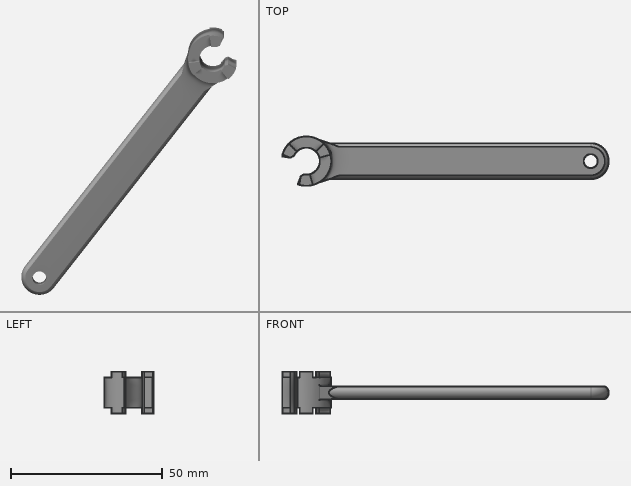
import cadquery as cq
import math

length = 108.1
head_radius = 8.2
bore_radius = 4.4
head_height = 14.0
lug_height = 2.0
web_height = head_height - 2 * lug_height
jaw_left = -8.0

handle_width = 12.0
handle_thickness = 4.2
edge_bulge = 1.3
hole_diameter = 4.5
half_width = handle_width / 2
flat_edge = half_width - edge_bulge
half_thickness = handle_thickness / 2
end_x = jaw_left + length - half_width

flare_start_angle = 59
flare_crossing = 7.5
flare_end = 10.8
root_fillet = 0.4

lug_ranges = [(15, 45), (135, 200), (235, 285)]

upper_inner_tip = [(-4.0, 1.8), (-5.3, 1.1)]
lower_inner_tip = [(-0.9, -4.3), (-1.8, -5.0)]
upper_web_corner = (jaw_left, 1.5)
upper_lug_corner = (jaw_left, 2.3)
lower_web_corner = (-2.9, -7.8)
lower_lug_corner = (-2.3, -8.0)


def polar(radius, degrees):
    angle = math.radians(degrees)
    return (radius * math.cos(angle), radius * math.sin(angle))


def slab(outline, height):
    """Prism centred on Z = 0."""
    return cq.Workplane("XY").polyline(outline).close().extrude(height / 2, both=True)


def ring(height):
    disc = cq.Workplane("XY").circle(head_radius).circle(bore_radius)
    return disc.extrude(height / 2, both=True)


def mouth(upper_corner, lower_corner, height):
    """Opening between the two jaw tips, including the flat on the upper jaw."""
    reach = 2 * head_radius
    outline = [(0, 0)] + upper_inner_tip + [upper_corner]
    outline += [(jaw_left, reach), (-reach, reach), (-reach, -reach)]
    tip_x, tip_y = lower_inner_tip[-1]
    run = (lower_corner[0] - tip_x) / (lower_corner[1] - tip_y)
    outline += [(tip_x + run * (-reach - tip_y), -reach)]
    outline += list(reversed(lower_inner_tip))
    return slab(outline, height)


def lug_sector(start, end):
    reach = 2 * head_radius
    return slab([(0, 0), polar(reach, start), polar(reach, end)], head_height)


def head():
    body = ring(web_height).cut(mouth(upper_web_corner, lower_web_corner, web_height))
    tall_ring = ring(head_height).cut(mouth(upper_lug_corner, lower_lug_corner, head_height))
    for start, end in lug_ranges:
        body = body.union(tall_ring.intersect(lug_sector(start, end)))
    return body.clean()


def handle():
    bar = (
        cq.Workplane("YZ")
        .moveTo(-flat_edge, -half_thickness)
        .lineTo(flat_edge, -half_thickness)
        .threePointArc((half_width, 0), (flat_edge, half_thickness))
        .lineTo(-flat_edge, half_thickness)
        .threePointArc((-half_width, 0), (-flat_edge, -half_thickness))
        .close()
        .extrude(end_x)
    )
    rounded_end = (
        cq.Workplane("XZ")
        .moveTo(0, -half_thickness)
        .lineTo(flat_edge, -half_thickness)
        .threePointArc((half_width, 0), (flat_edge, half_thickness))
        .lineTo(0, half_thickness)
        .close()
        .revolve(360, (0, 0), (0, 1))
        .translate((end_x, 0, 0))
    )
    return bar.union(rounded_end)


def flare(height):
    """Web with upright, slightly curved sides that narrows from the head into the handle."""
    start_x, start_y = polar(head_radius, flare_start_angle)
    return (
        cq.Workplane("XY")
        .moveTo(0, 0)
        .lineTo(start_x, start_y)
        .threePointArc((flare_crossing, half_width), (flare_end, flat_edge))
        .lineTo(flare_end, -flat_edge)
        .threePointArc((flare_crossing, -half_width), (start_x, -start_y))
        .close()
        .extrude(height / 2, both=True)
    )


def root_collar():
    """Concave fillet ring round the head, on both flat handle faces."""
    inner = head_radius - root_fillet
    outer = head_radius + root_fillet
    top = half_thickness + root_fillet
    middle = root_fillet * (1 - math.sqrt(0.5))
    return (
        cq.Workplane("XZ")
        .moveTo(inner, -top)
        .lineTo(head_radius, -top)
        .threePointArc((head_radius + middle, -half_thickness - middle), (outer, -half_thickness))
        .lineTo(outer, half_thickness)
        .threePointArc((head_radius + middle, half_thickness + middle), (head_radius, top))
        .lineTo(inner, top)
        .close()
        .revolve(360, (0, 0), (0, 1))
    )


shank = handle().union(flare(handle_thickness))
shank = shank.union(root_collar().intersect(flare(head_height)))
inside_head = cq.Workplane("XY").circle((head_radius + bore_radius) / 2).extrude(head_height, both=True)
shank = shank.cut(inside_head)
hole = cq.Workplane("XY").center(end_x, 0).circle(hole_diameter / 2).extrude(head_height, both=True)
result = head().union(shank).cut(hole)